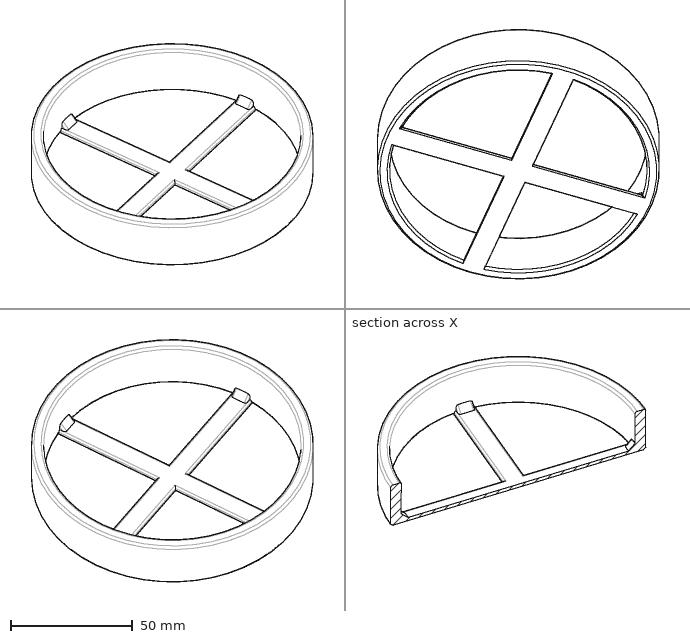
import cadquery as cq

outer_diameter = 115.5
inner_diameter = 105.5
height = 22.0
ring_rounding = 1.0
ring_chamfer = 1.0

arm_width = 9.1
arm_thickness = 2.0
arm_rounding = 0.8

gusset_size = 3.0
gusset_width = arm_width - 2 * arm_rounding
gusset_rounding = 0.9

inner_radius = inner_diameter / 2
wall = (outer_diameter - inner_diameter) / 2
wall_middle_radius = inner_radius + wall / 2


def make_ring():
    """Ring rounded along its top edges and chamfered along its bottom edges."""
    ring = cq.Workplane("XY").circle(outer_diameter / 2).circle(inner_radius).extrude(height)
    ring = ring.faces("<Z").edges().chamfer(ring_chamfer)
    return ring.faces(">Z").edges().fillet(ring_rounding)


def make_cross():
    """Two flat bars crossing at the centre, rounded along their long upper edges."""
    bar_length = 2 * wall_middle_radius
    bar = (
        cq.Workplane("XY")
        .box(bar_length, arm_width, arm_thickness, centered=(True, True, False))
        .edges(">Z and |X")
        .fillet(arm_rounding)
    )
    return bar.union(bar.rotate((0, 0, 0), (0, 0, 1), 90))


def make_gusset():
    """Wedge at the +X arm end: a 45 degree slope with rounded sides, buried in the wall."""
    return (
        cq.Workplane("XZ")
        .moveTo(inner_radius - gusset_size, arm_thickness)
        .lineTo(inner_radius, arm_thickness + gusset_size)
        .lineTo(wall_middle_radius, arm_thickness + gusset_size)
        .lineTo(wall_middle_radius, arm_thickness / 2)
        .lineTo(inner_radius - gusset_size, arm_thickness / 2)
        .close()
        .extrude(gusset_width / 2, both=True)
        .faces("<(1,0,-1)")
        .edges("not |Y")
        .fillet(gusset_rounding)
    )


result = make_ring().union(make_cross())
gusset = make_gusset()
for angle in (0, 90, 180, 270):
    result = result.union(gusset.rotate((0, 0, 0), (0, 0, 1), angle))